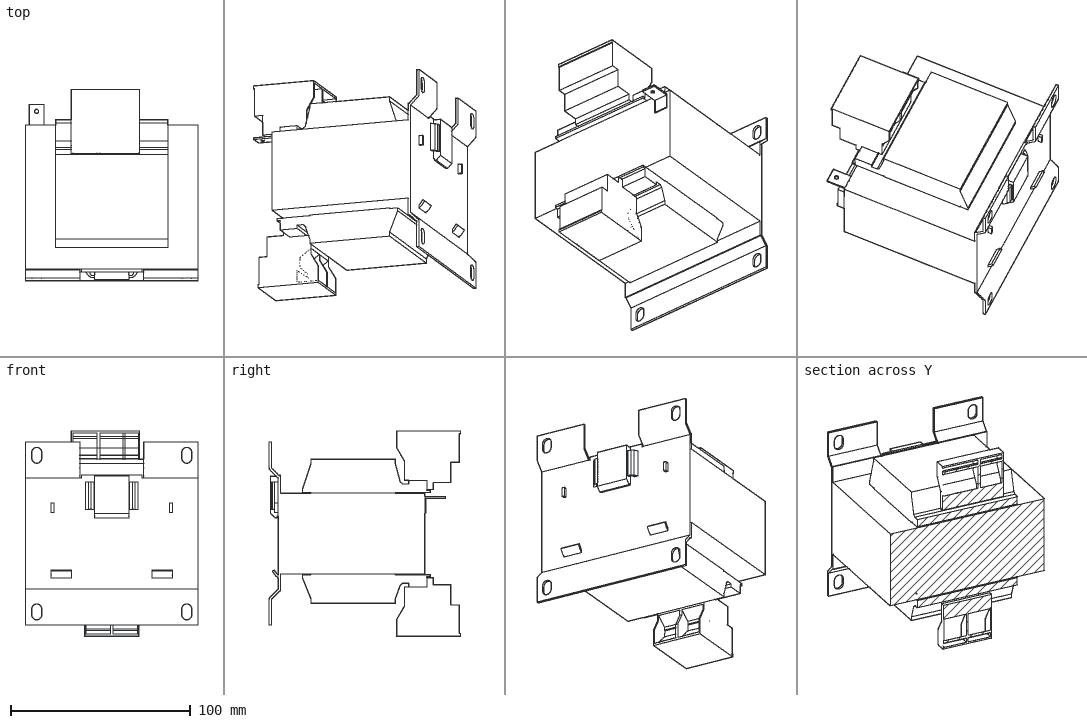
import cadquery as cq
import math


WIDTH = 96.0
DEPTH = 106.4
HEIGHT = 114.2

CORE_FRONT = 6.5
CORE_BACK = 86.7
CORE_HALF_HEIGHT = 22.5

SHEET_THICKNESS = 1.5
PLATE_FRONT = CORE_FRONT - SHEET_THICKNESS
FOOT_END = 50.9
BEND_START = 30.8
BEND_RADIUS = 1.7
NOTCH_WIDTH = 35.4
TONGUE_WIDTH = 33.6
TONGUE_TOP = 32.5
BACK_CORNER_FLAT = 0.6
SLOT_WIDTH = 5.5
SLOT_LENGTH = 8.7
SLOT_X = 41.7
SLOT_Z = 43.5

PIP_X = 32.9
PIP_WIDTH = 1.5
PIP_HEIGHT = 5.3
PIP_Z = 14.3
PIP_FRONT = 3.0
LANCE_X = 28.0
LANCE_WIDTH = 11.3
CLIP_WIDTH = 19.0
CLIP_FRONT = 0.8
GUIDE_BOTTOM = 13.5
GUIDE_TOP = 28.8

EMBED = 0.3
OVERSHOOT = 1.1

COIL_WIDTH = 62.4
COIL_TOP = 41.5
LOWER_COIL_BOTTOM = -38.7
COIL_EDGE_BAND = 2.4
FLANGE_GAP = 0.3
FLANGE_BACK = 89.6
LEDGE_BACK = 87.7
LEDGE_FRONT = 77.7
LEDGE_TOP = 29.6
COIL_BACK = 70.2
COIL_FRONT = 23.3
FLANGE_FRONT = 18.5

BLOCK_FRONT = 70.9
THROAT_FRONT = 75.3
COVER_UNDERSIDE = 55.8
RECESS_BACK = 83.6
UPPER_BLOCKS_LEFT = -22.6
UPPER_BLOCKS_SPLIT = -7.3
UPPER_BLOCKS_RIGHT = 15.5
LOWER_BLOCK_WIDTH = 15.1
NARROW_BLOCK_WALL = 1.0
BLOCK_WALL = 0.7
JOINT_X = 6.7
JOINT_WIDTH = 1.0
JOINT_DEPTH = 0.1

TAB_X = -41.8
TAB_WIDTH = 8.3
TAB_BACK = 98.1
TAB_TOP = 20.7
TAB_THICKNESS = 1.0
TAB_LEG_BOTTOM = 11.4
TAB_LEG_THICKNESS = 0.6
TAB_HOLE_Y = 94.2
TAB_HOLE_DIAMETER = 2.2


def box(x_range, y_range, z_range):
    """Box between the given limits along each axis."""
    ranges = (x_range, y_range, z_range)
    sizes = [high - low for low, high in ranges]
    corner = tuple(low for low, high in ranges)
    return cq.Workplane("XY").box(*sizes, centered=False).translate(corner)


def span(center, size):
    """Limits of a stretch given by its centre and size."""
    return (center - size / 2, center + size / 2)


def extrude_x(profile, x_range):
    """Extrude a closed (Y, Z) profile along X."""
    left, right = x_range
    return cq.Workplane("YZ", origin=(left, 0, 0)).polyline(profile).close().extrude(right - left)


def mirror_x(body):
    return body.mirror("YZ")


def mirror_z(body):
    return body.mirror("XY")


def make_plate():
    """Sheet with both ends joggled forward into slotted feet."""
    joggle_end = BEND_START + PLATE_FRONT
    back_shift = SHEET_THICKNESS * math.tan(math.pi / 8)
    back_start = BEND_START + back_shift
    back_end = back_start + PLATE_FRONT
    half = [
        (PLATE_FRONT, 0),
        (PLATE_FRONT, BEND_START),
        (0, joggle_end),
        (0, FOOT_END),
        (SHEET_THICKNESS, FOOT_END),
        (SHEET_THICKNESS, back_end),
        (CORE_FRONT - BACK_CORNER_FLAT, back_start + BACK_CORNER_FLAT),
        (CORE_FRONT, back_start + BACK_CORNER_FLAT),
        (CORE_FRONT, 0),
    ]
    upper = extrude_x(half, span(0, WIDTH))
    outer_bend = cq.selectors.NearestToPointSelector((0, 0, joggle_end))
    upper = upper.edges(outer_bend).fillet(BEND_RADIUS)
    plate = upper.union(mirror_z(upper))

    notch = box(span(0, NOTCH_WIDTH), (-OVERSHOOT, CORE_FRONT), (BEND_START, FOOT_END + OVERSHOOT))
    tongue = box(span(0, TONGUE_WIDTH), (PLATE_FRONT, CORE_FRONT), (BEND_START, TONGUE_TOP))
    plate = plate.cut(notch).union(tongue)

    slots = (
        cq.Workplane("XZ", origin=(0, -OVERSHOOT, 0))
        .rect(2 * SLOT_X, 2 * SLOT_Z, forConstruction=True)
        .vertices()
        .slot2D(SLOT_LENGTH, SLOT_WIDTH, 90)
        .extrude(-CORE_FRONT)
    )
    return plate.cut(slots)


def make_pip():
    """Small upright nib on the front of the plate."""
    return box(span(PIP_X, PIP_WIDTH), (PIP_FRONT, CORE_FRONT), span(PIP_Z, PIP_HEIGHT))


def make_lance():
    """Tongue bent up and forward out of the plate."""
    profile = [
        (PLATE_FRONT + EMBED, -25.1),
        (PLATE_FRONT, -24.8),
        (3.3, -23.1),
        (1.8, -20.9),
        (2.9, -20.1),
        (4.1, -21.9),
        (PLATE_FRONT + EMBED, -23.3),
    ]
    return extrude_x(profile, span(LANCE_X, LANCE_WIDTH))


def make_clip():
    """Sliding rail clip with a bevelled hook at its lower end."""
    profile = [
        (PLATE_FRONT + EMBED, 32.0),
        (CLIP_FRONT, 32.0),
        (CLIP_FRONT, 11.2),
        (3.4, 8.7),
        (4.5, 8.7),
        (4.5, 9.7),
        (PLATE_FRONT + EMBED, 9.7),
    ]
    return extrude_x(profile, span(0, CLIP_WIDTH))


def make_guide():
    """Curled lip that holds one side of the clip; (X, Y) profile on the -X side."""
    inside = -CLIP_WIDTH / 2 + EMBED
    root = PLATE_FRONT + EMBED
    profile = [
        (-14.5, root),
        (-14.5, PLATE_FRONT),
        (-13.0, 3.0),
        (-11.5, 1.9),
        (-9.9, 1.7),
        (inside, 1.3),
        (inside, 2.9),
        (-11.3, 3.1),
        (-12.0, 3.9),
        (-12.2, root),
    ]
    guide = cq.Workplane("XY", origin=(0, 0, GUIDE_BOTTOM)).polyline(profile).close()
    return guide.extrude(GUIDE_TOP - GUIDE_BOTTOM)


def make_coil(coil_top):
    """Winding of the given top height, above the core, with its bobbin flange and terminal ledge."""
    slope_top = coil_top - COIL_EDGE_BAND
    flange_bottom = CORE_HALF_HEIGHT + FLANGE_GAP
    profile = [
        (COIL_FRONT, CORE_HALF_HEIGHT),
        (COIL_FRONT, flange_bottom),
        (FLANGE_FRONT, flange_bottom),
        (FLANGE_FRONT, 24.5),
        (COIL_FRONT, slope_top),
        (COIL_FRONT, coil_top),
        (COIL_BACK, coil_top),
        (COIL_BACK, slope_top),
        (73.0, 28.8),
        (74.2, 27.6),
        (LEDGE_FRONT, 27.6),
        (LEDGE_FRONT, LEDGE_TOP),
        (LEDGE_BACK, LEDGE_TOP),
        (LEDGE_BACK, 24.1),
        (FLANGE_BACK, 24.1),
        (FLANGE_BACK, flange_bottom),
        (COIL_BACK, flange_bottom),
        (COIL_BACK, CORE_HALF_HEIGHT),
    ]
    return extrude_x(profile, span(0, COIL_WIDTH))


def make_terminal_block(left, right, wall, joint_x=None):
    """Upper terminal block between two X limits, open at the front around a bent contact spring."""
    top = HEIGHT / 2
    body_profile = [
        (DEPTH, top),
        (DEPTH, 55.4),
        (105.9, 55.4),
        (105.9, 39.6),
        (101.1, 39.6),
        (101.1, 28.3),
        (91.4, 28.3),
        (91.4, 24.4),
        (LEDGE_BACK, 24.4),
        (LEDGE_BACK, LEDGE_TOP),
        (THROAT_FRONT, LEDGE_TOP),
        (THROAT_FRONT, 40.3),
        (BLOCK_FRONT, 47.6),
        (BLOCK_FRONT, top),
    ]
    recess_profile = [
        (BLOCK_FRONT - OVERSHOOT, COVER_UNDERSIDE),
        (RECESS_BACK, COVER_UNDERSIDE),
        (RECESS_BACK, 49.1),
        (76.7, 53.9),
        (76.0, 53.0),
        (81.7, 47.6),
        (82.2, 43.7),
        (81.8, 43.4),
        (81.8, 41.7),
        (THROAT_FRONT, 37.1),
        (BLOCK_FRONT - OVERSHOOT, 37.1),
    ]
    block = extrude_x(body_profile, (left, right))
    recess = extrude_x(recess_profile, (left + wall, right - wall))
    block = block.cut(recess)
    if joint_x is not None:
        groove = extrude_x(recess_profile, span(joint_x, JOINT_WIDTH))
        block = block.cut(groove.translate((0, JOINT_DEPTH, 0)))
    return block


def make_earth_tab():
    """Angle tab fixed to the back of the core."""
    x_range = span(TAB_X, TAB_WIDTH)
    blade = box(x_range, (CORE_BACK, TAB_BACK), (TAB_TOP - TAB_THICKNESS, TAB_TOP))
    leg = box(x_range, (CORE_BACK, CORE_BACK + TAB_LEG_THICKNESS), (TAB_LEG_BOTTOM, TAB_TOP))
    hole = cq.Workplane("XY").center(TAB_X, TAB_HOLE_Y).circle(TAB_HOLE_DIAMETER / 2).extrude(TAB_TOP)
    return blade.union(leg).cut(hole)


core = box(span(0, WIDTH), (CORE_FRONT, CORE_BACK), span(0, 2 * CORE_HALF_HEIGHT))
result = core.union(make_plate()).union(make_clip())

for detail in (make_pip(), make_lance(), make_guide()):
    result = result.union(detail).union(mirror_x(detail))

result = result.union(make_coil(COIL_TOP))
result = result.union(mirror_z(make_coil(-LOWER_COIL_BOTTOM)))

upper_blocks = (
    make_terminal_block(UPPER_BLOCKS_LEFT, UPPER_BLOCKS_SPLIT, NARROW_BLOCK_WALL),
    make_terminal_block(UPPER_BLOCKS_SPLIT, UPPER_BLOCKS_RIGHT, BLOCK_WALL, joint_x=JOINT_X),
)
for block in upper_blocks:
    result = result.union(block)

lower_block = mirror_z(make_terminal_block(0, LOWER_BLOCK_WIDTH, BLOCK_WALL))
result = result.union(lower_block).union(mirror_x(lower_block))

result = result.union(make_earth_tab())